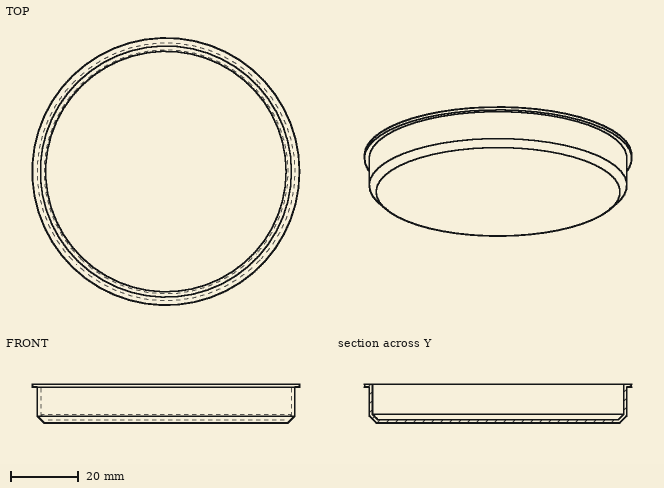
import cadquery as cq

rim_diameter = 78.8
body_diameter = 76.0
bore_diameter = 74.0
floor_diameter = 70.85
height = 11.5
rim_thickness = 0.95
floor_thickness = 1.0
outer_chamfer = 2.05

inner_chamfer = (bore_diameter - floor_diameter) / 2

body = (
    cq.Workplane("XY")
    .circle(body_diameter / 2)
    .extrude(height)
    .faces("<Z")
    .chamfer(outer_chamfer)
)
rim = (
    cq.Workplane("XY")
    .workplane(offset=height - rim_thickness)
    .circle(rim_diameter / 2)
    .extrude(rim_thickness)
)

cavity = (
    cq.Workplane("XY")
    .workplane(offset=floor_thickness)
    .circle(bore_diameter / 2)
    .extrude(height - floor_thickness)
    .faces("<Z")
    .chamfer(inner_chamfer)
)

result = body.union(rim).cut(cavity)